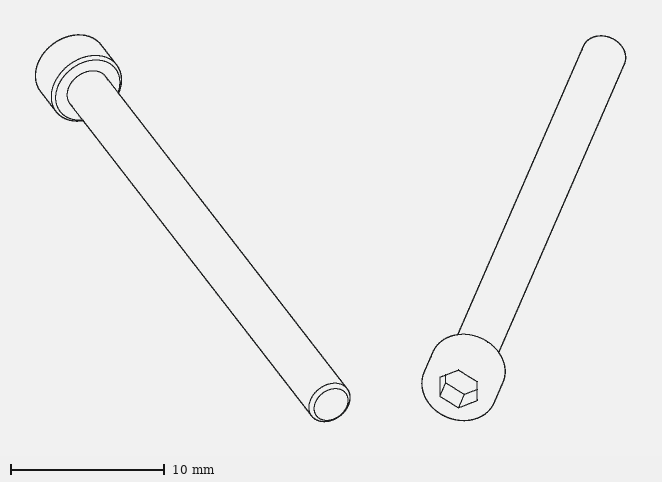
import cadquery as cq
import math

total_length = 43.0
head_diameter = 5.0
head_length = 3.0
head_edge_radius = 0.2
head_underside_chamfer = 0.2
shank_diameter = 2.92
tip_chamfer = 0.25
socket_across_flats = 2.5
socket_depth = 1.7

head_start = -total_length / 2
head_end = head_start + head_length
tip_end = total_length / 2


def cylinder_along_x(diameter, start, end):
    return cq.Workplane("YZ", origin=(start, 0, 0)).circle(diameter / 2).extrude(end - start)


def make_head():
    head = cylinder_along_x(head_diameter, head_start, head_end)
    head = head.faces("<X").edges().fillet(head_edge_radius)
    return head.faces(">X").edges().chamfer(head_underside_chamfer)


def make_shank():
    shank = cylinder_along_x(shank_diameter, head_end, tip_end)
    return shank.faces(">X").edges().chamfer(tip_chamfer)


def make_socket():
    """Hexagonal key socket with two corners on the Z axis."""
    across_corners = socket_across_flats / math.cos(math.pi / 6)
    return (
        cq.Workplane("YZ", origin=(head_start, 0, 0))
        .transformed(rotate=(0, 0, 90))
        .polygon(6, across_corners)
        .extrude(socket_depth)
    )


result = make_head().union(make_shank()).cut(make_socket())